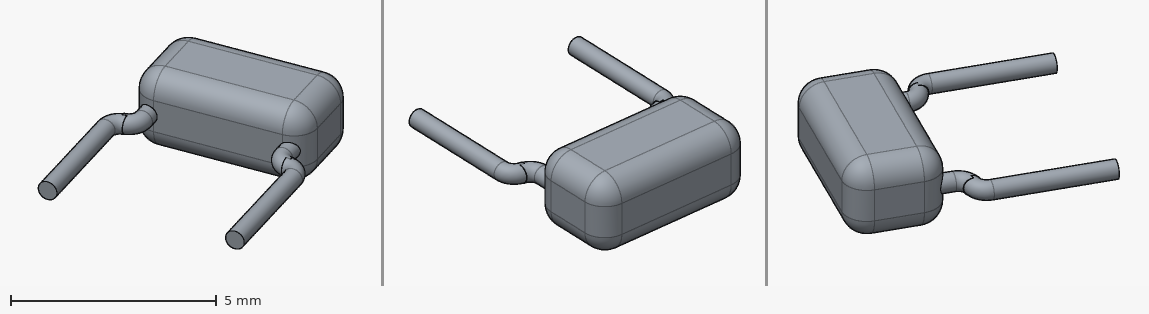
import cadquery as cq


overall_length = 6.74
body_width = 4.7625
body_depth = 2.54
body_height = 2.159
body_edge_radius = 0.635

lead_diameter = 0.508
lead_pitch = 5.08
stub_pitch = 3.81
stub_length = 0.254
bend_radius = 0.381
bend_angle = 90

lead_radius = lead_diameter / 2
stub_x = stub_pitch / 2
leg_x = lead_pitch / 2
body_front_y = -body_depth / 2
stub_end_y = body_front_y - stub_length
leg_start_y = stub_end_y - 2 * bend_radius
lead_tip_y = body_depth / 2 - overall_length


def make_body():
    box = cq.Workplane("XY").box(body_width, body_depth, body_height)
    return box.edges().fillet(body_edge_radius)


def straight_wire(x, start_y, end_y):
    """Round wire parallel to Y, running towards -Y from start_y to end_y."""
    section = cq.Workplane("XZ", origin=(x, start_y, 0)).circle(lead_radius)
    return section.extrude(start_y - end_y)


def bent_wire(x, y, axis_side):
    """Bend from a section at (x, y), swept clockwise seen from +Z.

    The bend axis is parallel to Z, one bend radius to the +X side of the
    section when axis_side is 1, or to the -X side when it is -1.
    """
    section = cq.Workplane("XZ", origin=(x, y, 0)).circle(lead_radius)
    axis_x = axis_side * bend_radius
    return section.revolve(bend_angle, (axis_x, 0), (axis_x, -1))


def make_left_lead():
    stub = straight_wire(-stub_x, 0, stub_end_y)
    inner_bend = bent_wire(-stub_x, stub_end_y, axis_side=-1)
    outer_bend = bent_wire(-leg_x, leg_start_y, axis_side=1)
    leg = straight_wire(-leg_x, leg_start_y, lead_tip_y)
    return stub.union(inner_bend).union(outer_bend).union(leg)


left_lead = make_left_lead()
right_lead = left_lead.mirror("YZ")
result = make_body().union(left_lead).union(right_lead)